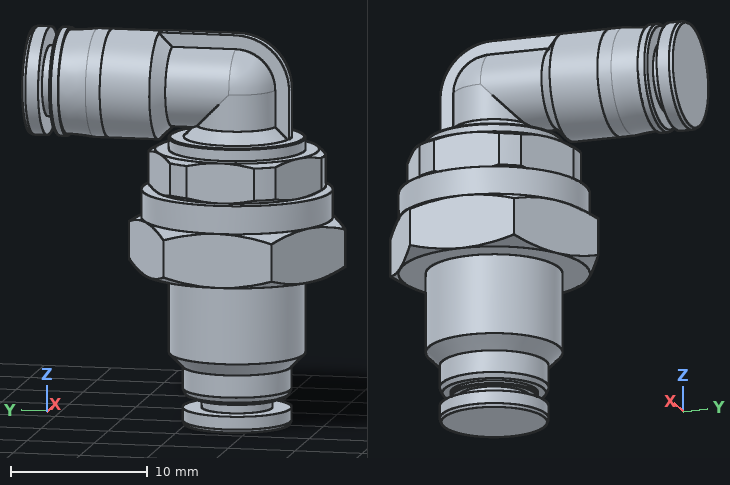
import cadquery as cq
import math


port_radius = 4.0
side_axis_z = 28.9 - port_radius

button_flange_thickness = 1.2
button_stem_radius = 2.6
button_bevel_length = 0.25
button_bevel_depth = 0.12
side_button_end_y = 15.23

guide_outer_y = 13.25
guide_flange_length = 0.7
guide_chamfer = 0.17
guide_waist_end_y = 10.5
guide_inner_y = 9.42
waist_min_radius = 3.81
waist_mid_radius = 3.87

tube_radius = 3.0
barrel_end_y = 5.72
flare_height = 0.9
rib_width = 1.07

ring_radius = 3.2
ring_bottom_z = 1.95
ring_chamfer = 0.1

thread_radius = 5.0
body_top_z = 21.3
body_top_chamfer = 0.1
body_bottom_z = 2.23
neck_bevel_length = 0.4
neck_bevel_depth = 0.2
shoulder_z = 4.28

hex_chamfer_angle = 30
flange_nut_flats = 14.0
flange_nut_bottom_z = 11.3
flange_bottom_z = 15.32
flange_top_z = 17.4
lock_nut_flats = 12.0
lock_nut_corner_radius = 6.5
lock_nut_top_z = 20.37


def revolve_about_z(outline):
    """Turn a closed (radius, z) outline about the Z axis."""
    return (
        cq.Workplane("XZ")
        .polyline(outline)
        .close()
        .revolve(360, (0, 0), (0, 1))
    )


def point_along_y(shape):
    """Lay a shape turned about Z along +Y, at the height of the side port."""
    return shape.rotate((0, 0, 0), (1, 0, 0), -90).translate((0, 0, side_axis_z))


def chamfered_hexagon(flats, corner_radius, bottom_z, top_z):
    """Hexagon with flats on +X and -X, limited to corner_radius and chamfered at both ends."""
    height = top_z - bottom_z
    end_radius = flats / 2
    chamfer_height = (corner_radius - end_radius) * math.tan(math.radians(hex_chamfer_angle))
    prism = (
        cq.Workplane("XY")
        .workplane(offset=bottom_z)
        .polygon(6, flats, circumscribed=True)
        .extrude(height)
    )
    envelope = revolve_about_z([
        (0, bottom_z),
        (end_radius, bottom_z),
        (corner_radius, bottom_z + chamfer_height),
        (corner_radius, top_z - chamfer_height),
        (end_radius, top_z),
        (0, top_z),
    ])
    return prism.intersect(envelope)


def thread_bore(bottom_z, top_z):
    """Cylinder that clears the threaded body inside a nut."""
    return cq.Workplane("XY").workplane(offset=bottom_z).circle(thread_radius).extrude(top_z - bottom_z)


def make_button(length):
    """Flanged button: the end face is at z = 0 and the stem reaches z = length."""
    return revolve_about_z([
        (0, 0),
        (port_radius - button_bevel_depth, 0),
        (port_radius, button_bevel_length),
        (port_radius, button_flange_thickness),
        (button_stem_radius, button_flange_thickness),
        (button_stem_radius, length),
        (0, length),
    ])


def make_buttons():
    """Lower button under the body and side button at the end of the side port."""
    side_length = side_button_end_y - guide_inner_y
    side_button = (
        make_button(side_length)
        .rotate((0, 0, 0), (1, 0, 0), 90)
        .translate((0, side_button_end_y, side_axis_z))
    )
    return [make_button(body_bottom_z), side_button]


def make_side_guide():
    """Collar with a shallow concave waist, bored for the button stem."""
    flange_inner_y = guide_outer_y - guide_flange_length
    waist_mid_y = (flange_inner_y + guide_waist_end_y) / 2
    guide = (
        cq.Workplane("XZ")
        .moveTo(button_stem_radius, guide_inner_y)
        .lineTo(port_radius, guide_inner_y)
        .lineTo(port_radius, guide_waist_end_y)
        .threePointArc((waist_mid_radius, waist_mid_y), (waist_min_radius, flange_inner_y))
        .lineTo(port_radius, flange_inner_y)
        .lineTo(port_radius, guide_outer_y - guide_chamfer)
        .lineTo(port_radius - guide_chamfer, guide_outer_y)
        .lineTo(button_stem_radius, guide_outer_y)
        .close()
        .revolve(360, (0, 0), (0, 1))
    )
    return point_along_y(guide)


def make_elbow():
    """Two tubes joined by a ball, with a flared foot, a side barrel and an outer rib."""
    flare_radius = tube_radius + flare_height
    upright = revolve_about_z([
        (0, body_top_z),
        (flare_radius, body_top_z),
        (tube_radius, body_top_z + flare_height),
        (tube_radius, side_axis_z),
        (0, side_axis_z),
    ])
    taper_length = port_radius - tube_radius
    side_arm = point_along_y(revolve_about_z([
        (0, 0),
        (tube_radius, 0),
        (tube_radius, barrel_end_y - taper_length),
        (port_radius, barrel_end_y),
        (port_radius, guide_inner_y),
        (0, guide_inner_y),
    ]))
    corner_ball = cq.Workplane("XY").sphere(tube_radius).translate((0, 0, side_axis_z))
    return upright.union(side_arm).union(corner_ball).union(make_rib())


def make_rib():
    """Flat rib that follows the outside of the bend, flush with the barrel."""
    arc_offset = port_radius * math.sqrt(0.5)
    return (
        cq.Workplane("YZ")
        .moveTo(0, body_top_z)
        .lineTo(-port_radius, body_top_z)
        .lineTo(-port_radius, side_axis_z)
        .threePointArc((-arc_offset, side_axis_z + arc_offset), (0, side_axis_z + port_radius))
        .lineTo(barrel_end_y, side_axis_z + port_radius)
        .lineTo(barrel_end_y, side_axis_z)
        .lineTo(0, side_axis_z)
        .close()
        .extrude(rib_width / 2, both=True)
    )


def make_body():
    """Threaded cylinder with a shoulder down to a bevelled neck."""
    return revolve_about_z([
        (0, body_bottom_z),
        (port_radius - neck_bevel_depth, body_bottom_z),
        (port_radius, body_bottom_z + neck_bevel_length),
        (port_radius, shoulder_z),
        (thread_radius, shoulder_z + thread_radius - port_radius),
        (thread_radius, body_top_z - body_top_chamfer),
        (thread_radius - body_top_chamfer, body_top_z),
        (0, body_top_z),
    ])


def make_guide_ring():
    """Ring between the neck and the lower button, bored for the button stem."""
    return revolve_about_z([
        (button_stem_radius, ring_bottom_z),
        (ring_radius - ring_chamfer, ring_bottom_z),
        (ring_radius, ring_bottom_z + ring_chamfer),
        (ring_radius, body_bottom_z),
        (button_stem_radius, body_bottom_z),
    ])


def make_flange_nut():
    """Large hexagon nut with a round flange on top, as wide as its flats."""
    corner_radius = flange_nut_flats / math.sqrt(3)
    hexagon = chamfered_hexagon(flange_nut_flats, corner_radius, flange_nut_bottom_z, flange_bottom_z)
    flange = (
        cq.Workplane("XY")
        .workplane(offset=flange_bottom_z)
        .circle(flange_nut_flats / 2)
        .extrude(flange_top_z - flange_bottom_z)
    )
    return hexagon.union(flange).cut(thread_bore(flange_nut_bottom_z, flange_top_z))


def make_lock_nut():
    """Smaller hexagon nut with rounded corners, seated on the flange."""
    hexagon = chamfered_hexagon(lock_nut_flats, lock_nut_corner_radius, flange_top_z, lock_nut_top_z)
    return hexagon.cut(thread_bore(flange_top_z, lock_nut_top_z))


buttons = make_buttons()
side_guide = make_side_guide()
elbow = make_elbow()
body = make_body()
guide_ring = make_guide_ring()
flange_nut = make_flange_nut()
lock_nut = make_lock_nut()

result = cq.Compound.makeCompound([
    *[button.val() for button in buttons],
    side_guide.val(),
    elbow.val(),
    body.val(),
    guide_ring.val(),
    flange_nut.val(),
    lock_nut.val(),
])